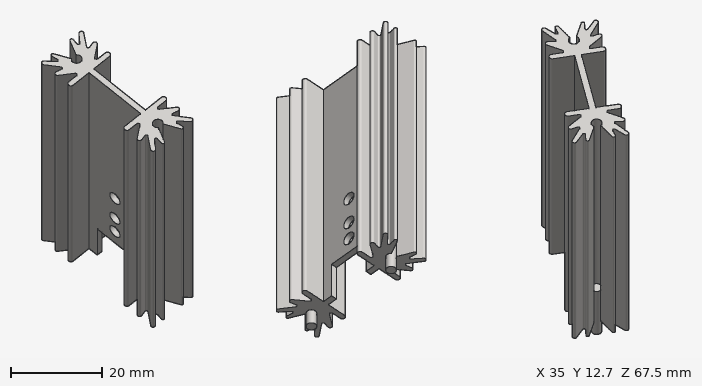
import cadquery as cq
import math

TOTAL_HEIGHT = 67.45
PIN_PROTRUSION = 3.9
PIN_INSERTION = 10.05
SINK_HEIGHT = TOTAL_HEIGHT - PIN_PROTRUSION

HALF_WIDTH = 34.95 / 2
HALF_DEPTH = 12.7 / 2
WEB_HALF_THICKNESS = 0.75

PIN_DIAMETER = 2.35
PIN_RADIUS = PIN_DIAMETER / 2
PIN_X = 12.6
BORE_MOUTH_HALF_WIDTH = 0.75
BORE_MOUTH_X = PIN_X + math.sqrt(PIN_RADIUS**2 - BORE_MOUTH_HALF_WIDTH**2)

HOLE_DIAMETER = 3.2
HOLE_HEIGHTS = (13.55, 18.35, 25.5)
NOTCH_WIDTH = 10.9
NOTCH_HEIGHT = 9.45

INNER_TIP_RADIUS = 0.7
INNER_FIN_X = 8.7
MIDDLE_TIP_RADIUS = 0.55
MIDDLE_FIN_X = 12.75
CORNER_TIP_RADIUS = 0.55
OUTER_TIP_RADIUS = 0.4
OUTER_FIN_Y = 2.9

INNER_VALLEY_RADIUS = 0.4
INNER_VALLEY_X = INNER_FIN_X + INNER_TIP_RADIUS + INNER_VALLEY_RADIUS
INNER_VALLEY_Y = 3.3
NARROW_VALLEY_RADIUS = 0.35
MIDDLE_VALLEY = (13.3, 4.25)
OUTER_VALLEY = (15.45, 3.4)

QUARTER_ARCS = (
    (INNER_FIN_X, HALF_DEPTH - INNER_TIP_RADIUS, INNER_TIP_RADIUS),
    (INNER_VALLEY_X, INNER_VALLEY_Y, INNER_VALLEY_RADIUS),
    (MIDDLE_FIN_X, HALF_DEPTH - MIDDLE_TIP_RADIUS, MIDDLE_TIP_RADIUS),
    (*MIDDLE_VALLEY, NARROW_VALLEY_RADIUS),
    (HALF_WIDTH - CORNER_TIP_RADIUS, HALF_DEPTH - CORNER_TIP_RADIUS, CORNER_TIP_RADIUS),
    (*OUTER_VALLEY, NARROW_VALLEY_RADIUS),
    (HALF_WIDTH - OUTER_TIP_RADIUS, OUTER_FIN_Y, OUTER_TIP_RADIUS),
)


def point_on_arc(arc, angle):
    x, y, radius = arc
    return (x + radius * math.cos(angle), y + radius * math.sin(angle))


def flank_normal(tip, valley, tip_first):
    """Angle from the tip center to its tangent point on the flank shared with a valley."""
    dx = valley[0] - tip[0]
    dy = valley[1] - tip[1]
    spread = math.acos((tip[2] + valley[2]) / math.hypot(dx, dy))
    side = 1 if tip_first else -1
    return math.atan2(dy, dx) + side * spread


def flank_angles(index):
    """Tangent angles on an arc and on the next one, for the flank that joins them."""
    first = QUARTER_ARCS[index]
    second = QUARTER_ARCS[index + 1]
    if index % 2 == 0:
        angle = flank_normal(first, second, True)
        return angle, angle + math.pi
    angle = flank_normal(second, first, False)
    return angle + math.pi, angle


def mouth_angle(tip):
    """Angle on the outermost tip where the straight line to the bore mouth is tangent."""
    dx = BORE_MOUTH_X - tip[0]
    dy = BORE_MOUTH_HALF_WIDTH - tip[1]
    return math.atan2(dy, dx) + math.acos(tip[2] / math.hypot(dx, dy))


def quarter_profile():
    """Quarter of the cross-section with X and Y positive, filled down to both axes."""
    inner_face_x = INNER_FIN_X - INNER_TIP_RADIUS
    profile = (
        cq.Workplane("XY")
        .lineTo(0, WEB_HALF_THICKNESS)
        .lineTo(inner_face_x, WEB_HALF_THICKNESS)
    )
    last = len(QUARTER_ARCS) - 1
    start_angle = math.pi
    for index, arc in enumerate(QUARTER_ARCS):
        if index < last:
            end_angle, next_angle = flank_angles(index)
        else:
            end_angle, next_angle = mouth_angle(arc), None
        direction = -1 if index % 2 == 0 else 1
        sweep = direction * ((direction * (end_angle - start_angle)) % (2 * math.pi))
        profile = profile.lineTo(*point_on_arc(arc, start_angle)).threePointArc(
            point_on_arc(arc, start_angle + sweep / 2),
            point_on_arc(arc, end_angle),
        )
        start_angle = next_angle
    return (
        profile.lineTo(BORE_MOUTH_X, BORE_MOUTH_HALF_WIDTH)
        .lineTo(BORE_MOUTH_X, 0)
        .close()
    )


def make_heat_sink():
    quarter = quarter_profile().extrude(SINK_HEIGHT)
    half = quarter.union(quarter.mirror("XZ"))
    sink = half.union(half.mirror("YZ"))

    bores = (
        cq.Workplane("XY")
        .pushPoints([(-PIN_X, 0), (PIN_X, 0)])
        .circle(PIN_RADIUS)
        .extrude(SINK_HEIGHT)
    )
    holes = (
        cq.Workplane("XZ")
        .pushPoints([(0, height) for height in HOLE_HEIGHTS])
        .circle(HOLE_DIAMETER / 2)
        .extrude(WEB_HALF_THICKNESS, both=True)
    )
    notch = cq.Workplane("XY").box(
        NOTCH_WIDTH, 2 * WEB_HALF_THICKNESS, NOTCH_HEIGHT, centered=(True, True, False)
    )
    return sink.cut(bores).cut(holes).cut(notch)


def make_pin(x):
    return (
        cq.Workplane("XY", origin=(x, 0, -PIN_PROTRUSION))
        .circle(PIN_RADIUS)
        .extrude(PIN_PROTRUSION + PIN_INSERTION)
    )


heat_sink = make_heat_sink()
pins = [make_pin(x) for x in (-PIN_X, PIN_X)]

result = cq.Compound.makeCompound([heat_sink.val(), *[pin.val() for pin in pins]])